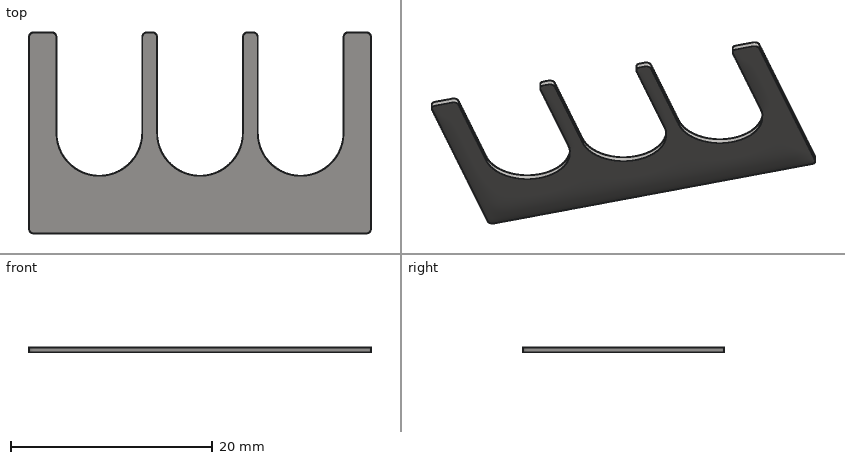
import cadquery as cq

plate_length = 34.0
plate_width = 20.0
plate_thickness = 0.5
slot_count = 3
slot_pitch = 10.0
slot_width = 8.5
slot_straight_depth = 10.0
corner_radius = 0.5

slot_radius = slot_width / 2
open_edge_y = plate_width / 2
slot_centre_y = open_edge_y - slot_straight_depth


def make_plate():
    """Flat rectangular plate centred on the origin in X and Y."""
    return cq.Workplane("XY").box(
        plate_length, plate_width, plate_thickness, centered=(True, True, False)
    )


def make_slot(centre_x):
    """U-shaped cutter, open at the +Y edge, with a full round inner end."""
    left_x = centre_x - slot_radius
    right_x = centre_x + slot_radius
    return (
        cq.Workplane("XY")
        .moveTo(left_x, open_edge_y)
        .lineTo(left_x, slot_centre_y)
        .threePointArc((centre_x, slot_centre_y - slot_radius), (right_x, slot_centre_y))
        .lineTo(right_x, open_edge_y)
        .close()
        .extrude(plate_thickness)
    )


def cut_slots(plate):
    """Cut the evenly pitched row of slots, leaving fingers between them."""
    first_slot_x = -slot_pitch * (slot_count - 1) / 2
    for index in range(slot_count):
        plate = plate.cut(make_slot(first_slot_x + index * slot_pitch))
    return plate


def round_corners(plate):
    """Round the finger tips and the two back corners of the plate."""
    corners = plate.edges("|Z").edges(">Y or <Y")
    return corners.fillet(corner_radius)


result = round_corners(cut_slots(make_plate()))